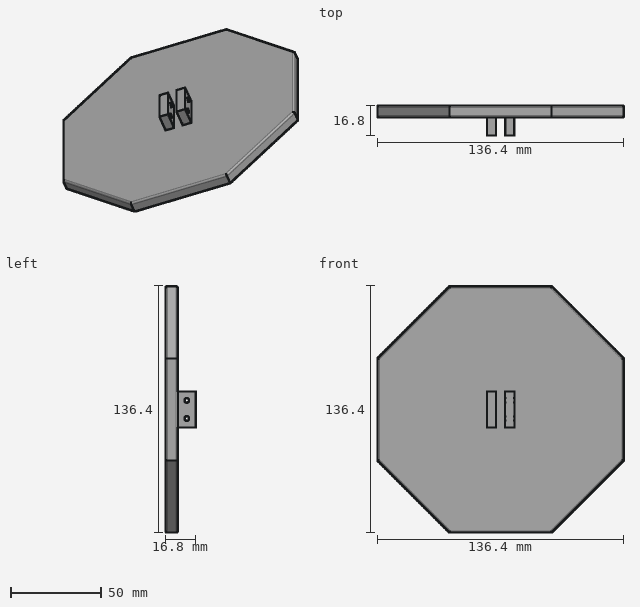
import cadquery as cq
import math

plate_sides = 8
plate_width = 136.4
plate_thickness = 6.8
edge_radius = 1.1

lug_thickness = 5.0
lug_gap = 5.0
lug_reach = 10.0
lug_height = 20.0
hole_diameter = 2.5
hole_spacing = lug_height / 2


def make_plate():
    """Octagon with rounded rims, its front face at Y = 0 and its back at +Y."""
    half_sector = 180 / plate_sides
    across_corners = plate_width / math.cos(math.radians(half_sector))
    plate = (
        cq.Workplane("XZ")
        .transformed(rotate=(0, 0, half_sector))
        .polygon(plate_sides, across_corners)
        .extrude(-plate_thickness)
    )
    return plate.faces("<Y or >Y").edges().fillet(edge_radius)


def make_lug(center_x):
    """Rectangular lug projecting from the front face of the plate."""
    lug = cq.Workplane("XY").box(lug_thickness, lug_reach, lug_height)
    return lug.translate((center_x, -lug_reach / 2, 0))


def make_lug_holes():
    """Two cross holes along X, one above the other, through both lugs."""
    lugs_width = 2 * lug_thickness + lug_gap
    return (
        cq.Workplane("YZ")
        .pushPoints([(-lug_reach / 2, side * hole_spacing / 2) for side in (-1, 1)])
        .circle(hole_diameter / 2)
        .extrude(lugs_width / 2, both=True)
    )


lug_offset = (lug_gap + lug_thickness) / 2
result = make_plate()
for side in (-1, 1):
    result = result.union(make_lug(side * lug_offset))
result = result.cut(make_lug_holes())